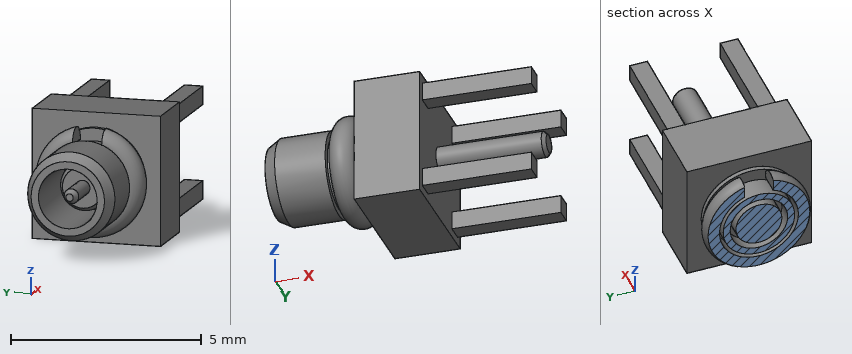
import cadquery as cq
import math


taper_angle = 30

block_side = 3.5
block_front = 2.7
block_length = 1.8
block_back = block_front + block_length

barrel_radius = 1.19
nose_radius = 1.0
barrel_length = 1.72
neck_radius = 1.01
bore_radius = 0.8
bore_depth = 2.4

flange_radius = 1.35
flange_length = 0.13
flange_front = block_front - flange_length

ring_outer_radius = 1.5
ring_inner_radius = 1.1
ring_seat_flattening = 0.01
ring_section_radius = 0.38
ring_center_radius = ring_outer_radius - ring_section_radius
ring_center_x = flange_front + ring_seat_flattening - ring_section_radius
ring_gap = 0.8

insulator_radius = 0.65
insulator_tip_radius = 0.55
insulator_front = 1.4

contact_radius = 0.2
contact_tip_radius = 0.1
contact_front = 0.17

tail_length = 3.0
leg_side = 0.5
leg_offset = 1.27
signal_pin_radius = 0.35
signal_pin_chamfer = 0.1


def rod(radius, start, end):
    """Round rod along the X axis between two X positions."""
    return cq.Workplane("YZ", origin=(start, 0, 0)).circle(radius).extrude(end - start)


def tapered_rod(tip_radius, radius, start, end):
    """Round rod along the X axis whose front end narrows to tip_radius."""
    tip_length = (radius - tip_radius) / math.tan(math.radians(taper_angle))
    profile = [
        (start, 0),
        (start, tip_radius),
        (start + tip_length, radius),
        (end, radius),
        (end, 0),
    ]
    return cq.Workplane("XY").polyline(profile).close().revolve(360, (0, 0, 0), (1, 0, 0))


def make_block():
    return cq.Workplane("YZ", origin=(block_front, 0, 0)).rect(block_side, block_side).extrude(block_length)


def make_snap_ring():
    """Round-section ring, flat inside and against the flange, open at the top (+Z)."""
    inner_half_width = math.sqrt(ring_section_radius**2 - (ring_center_radius - ring_inner_radius) ** 2)
    seat_half_height = math.sqrt(ring_section_radius**2 - (flange_front - ring_center_x) ** 2)
    ring = (
        cq.Workplane("XY")
        .moveTo(ring_center_x - inner_half_width, ring_inner_radius)
        .threePointArc(
            (ring_center_x, ring_outer_radius),
            (flange_front, ring_center_radius + seat_half_height),
        )
        .lineTo(flange_front, ring_inner_radius)
        .close()
        .revolve(360, (0, 0, 0), (1, 0, 0))
    )
    gap = cq.Workplane("XY", origin=(ring_center_x, 0, 0)).box(
        2 * ring_section_radius, ring_gap, ring_outer_radius, centered=(True, True, False)
    )
    return ring.cut(gap)


def make_barrel():
    """Hollow barrel with its neck, snap ring and flange."""
    shell = tapered_rod(nose_radius, barrel_radius, 0, barrel_length)
    neck = rod(neck_radius, barrel_length, block_front)
    flange = rod(flange_radius, flange_front, block_front)
    body = shell.union(neck).union(make_snap_ring()).union(flange)
    return body.cut(rod(bore_radius, 0, bore_depth))


def make_bore_parts():
    """Insulator and center contact, both rooted behind the bore floor."""
    insulator = tapered_rod(insulator_tip_radius, insulator_radius, insulator_front, block_front)
    contact = tapered_rod(contact_tip_radius, contact_radius, contact_front, block_front)
    return insulator.union(contact)


def make_tails():
    """Four square corner legs and the round signal pin."""
    legs = (
        cq.Workplane("YZ", origin=(block_back, 0, 0))
        .rect(2 * leg_offset, 2 * leg_offset, forConstruction=True)
        .vertices()
        .rect(leg_side, leg_side)
        .extrude(tail_length)
    )
    pin = rod(signal_pin_radius, block_back, block_back + tail_length)
    return legs.union(pin.faces(">X").chamfer(signal_pin_chamfer))


result = make_block().union(make_barrel()).union(make_bore_parts()).union(make_tails())